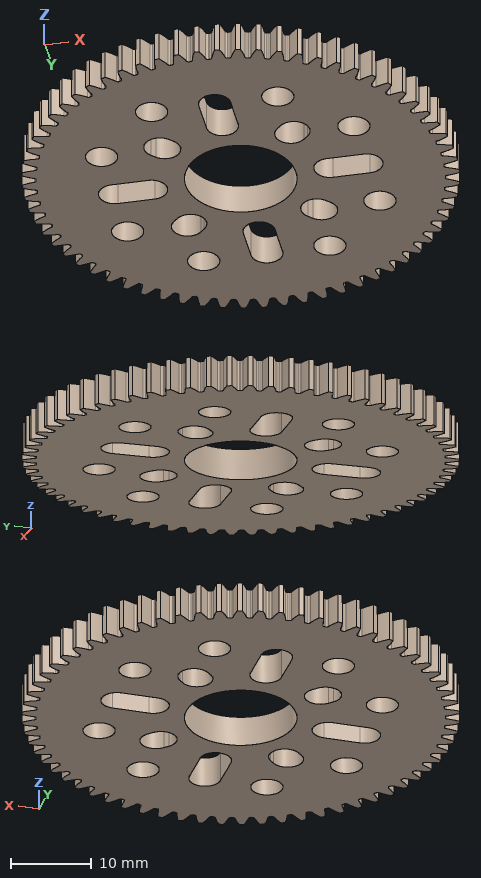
import cadquery as cq
import math

tooth_count = 66
tip_diameter = 54.4
thickness = 4.0
pressure_angle = math.radians(20)
dedendum_factor = 1.25
root_fillet = 0.305
backlash = 0.03
flank_points = 6

module = tip_diameter / (tooth_count + 2)
tip_radius = tip_diameter / 2
pitch_radius = module * tooth_count / 2
base_radius = pitch_radius * math.cos(pressure_angle)
root_radius = pitch_radius - dedendum_factor * module
tooth_pitch_angle = 2 * math.pi / tooth_count

grid_pitch = 8.0
hole_diameter = grid_pitch / 2
bore_diameter = 14.0

slot_inner_radius = grid_pitch * math.sqrt(2)
axis_slot_outer_radius = 2 * grid_pitch
diagonal_slot_outer_radius = 12.0


def polar(radius, angle):
    """Point at a radius and an angle about the axis."""
    return (radius * math.cos(angle), radius * math.sin(angle))


def involute(radius):
    """Angle swept by the involute between the base circle and a radius."""
    pressure = math.acos(base_radius / radius)
    return math.tan(pressure) - pressure


def half_tooth_angle(radius):
    """Half the angle that a tooth spans at a radius."""
    half_at_pitch = (tooth_pitch_angle - backlash / pitch_radius) / 4
    return half_at_pitch + involute(pitch_radius) - involute(radius)


def gear_blank():
    """Disc with involute teeth and filleted gaps, one tooth centred on +Y."""
    fillet_centre_radius = root_radius + root_fillet
    centre_tangent = math.sqrt(fillet_centre_radius**2 - base_radius**2)
    flank_tangent = centre_tangent - root_fillet
    flank_start = math.hypot(base_radius, flank_tangent)
    fillet_angle = (
        half_tooth_angle(flank_start)
        + math.atan(centre_tangent / base_radius)
        - math.atan(flank_tangent / base_radius)
    )
    fillet_half_sweep = math.acos(centre_tangent / fillet_centre_radius) / 2

    flank_step = (tip_radius - flank_start) / (flank_points - 1)
    radii = [flank_start + flank_step * i for i in range(flank_points)]

    def flank(tooth, side):
        """Points up one flank; side is -1 where the tooth begins and +1 where it ends."""
        return [polar(r, tooth + side * half_tooth_angle(r)) for r in radii]

    def fillet_mid(tooth, side):
        """Point halfway round the fillet at the foot of a flank."""
        centre_angle = tooth + side * fillet_angle
        centre = polar(fillet_centre_radius, centre_angle)
        offset = polar(root_fillet, centre_angle + math.pi + side * fillet_half_sweep)
        return (centre[0] + offset[0], centre[1] + offset[1])

    first_tooth = math.pi / 2
    outline = cq.Workplane("XY").moveTo(*flank(first_tooth, -1)[0])
    for i in range(tooth_count):
        tooth = first_tooth + i * tooth_pitch_angle
        next_tooth = tooth + tooth_pitch_angle
        rising = flank(tooth, -1)
        falling = flank(tooth, 1)[::-1]
        outline = (
            outline.spline(rising[1:], includeCurrent=True)
            .threePointArc(polar(tip_radius, tooth), falling[0])
            .spline(falling[1:], includeCurrent=True)
            .threePointArc(fillet_mid(tooth, 1), polar(root_radius, tooth + fillet_angle))
            .threePointArc(
                polar(root_radius, tooth + tooth_pitch_angle / 2),
                polar(root_radius, next_tooth - fillet_angle),
            )
            .threePointArc(fillet_mid(next_tooth, -1), flank(next_tooth, -1)[0])
        )
    return outline.close().extrude(thickness)


def radial_slot(angle, inner, outer):
    """Cutter for a slot whose end centres lie at two radii along an angle in degrees."""
    return (
        cq.Workplane("XY")
        .center((inner + outer) / 2, 0)
        .slot2D(outer - inner + hole_diameter, hole_diameter)
        .extrude(thickness)
        .rotate((0, 0, 0), (0, 0, 1), angle)
    )


def hole_centres():
    """Eight grid points, each one pitch from one axis and two pitches from the other."""
    centres = []
    for x_sign in (-1, 1):
        for y_sign in (-1, 1):
            centres.append((x_sign * grid_pitch, y_sign * 2 * grid_pitch))
            centres.append((x_sign * 2 * grid_pitch, y_sign * grid_pitch))
    return centres


bore = cq.Workplane("XY").circle(bore_diameter / 2).extrude(thickness)
holes = cq.Workplane("XY").pushPoints(hole_centres()).circle(hole_diameter / 2).extrude(thickness)

result = gear_blank().cut(bore).cut(holes)
for axis_angle in (0, 90, 180, 270):
    result = result.cut(radial_slot(axis_angle, slot_inner_radius, axis_slot_outer_radius))
    result = result.cut(radial_slot(axis_angle + 45, slot_inner_radius, diagonal_slot_outer_radius))